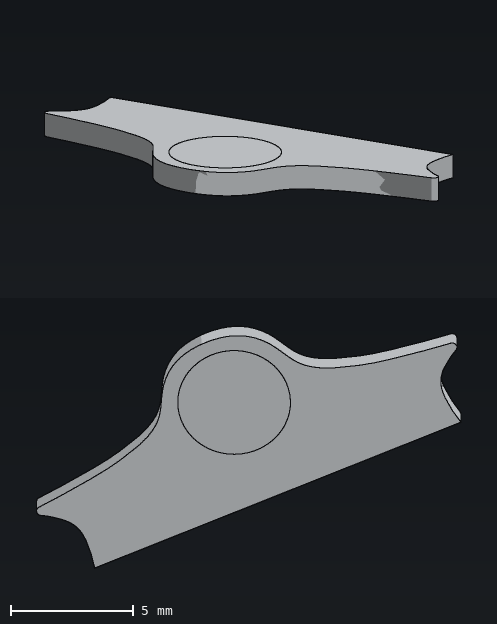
import cadquery as cq
import math

overall_width = 18.67
thickness = 1.0
disc_radius = 2.3
rim_width = 0.6
head_reach = disc_radius + rim_width
overall_depth = 7.39
back_y = overall_depth - head_reach
back_half_width = 8.15

tip_radius = 0.2
tip_center = (overall_width / 2 - tip_radius, 1.3)
tip_upper_angle = 62
tip_lower_angle = -84

hollow_points = [(8.0, 3.54), (8.1, 2.53), (8.4, 2.09), (8.75, 1.79)]
hollow_start_direction = (-0.25, -1)

front_joints = [
    ((8.07, 0.98), 8.0),
    ((5.31, 0.51), 15.2),
    ((3.12, -0.56), 49.5),
    ((2.33, -1.85), 52.8),
    ((0, -head_reach), 0),
]


def tip_point(angle):
    turn = math.radians(angle)
    x = tip_center[0] + tip_radius * math.cos(turn)
    y = tip_center[1] + tip_radius * math.sin(turn)
    return (x, y)


def tip_direction(angle):
    """Clockwise tangent of the tip arc at the given angle."""
    turn = math.radians(angle)
    return (math.sin(turn), -math.cos(turn))


def slope_direction(slope):
    """Direction of travel towards the YZ plane along an edge of the given slope."""
    turn = math.radians(slope)
    return (-math.cos(turn), -math.sin(turn))


def make_half_plate():
    tip_upper = tip_point(tip_upper_angle)
    tip_lower = tip_point(tip_lower_angle)
    hollow_end_direction = tip_direction(tip_upper_angle)
    outline = (
        cq.Workplane("XY")
        .moveTo(0, back_y)
        .lineTo(back_half_width, back_y)
        .spline(
            [*hollow_points, tip_upper],
            tangents=[hollow_start_direction, hollow_end_direction],
            includeCurrent=True,
        )
        .threePointArc(tip_point(0), tip_lower)
    )
    direction = tip_direction(tip_lower_angle)
    for joint, slope in front_joints:
        next_direction = slope_direction(slope)
        outline = outline.spline(
            [joint],
            tangents=[direction, next_direction],
            includeCurrent=True,
        )
        direction = next_direction
    return outline.close().extrude(thickness)


def make_disc():
    return cq.Workplane("XY").circle(disc_radius).extrude(thickness)


disc = make_disc()
half_plate = make_half_plate()
plate = half_plate.union(half_plate.mirror("YZ")).clean().cut(disc)

result = cq.Compound.makeCompound([plate.val(), disc.val()])